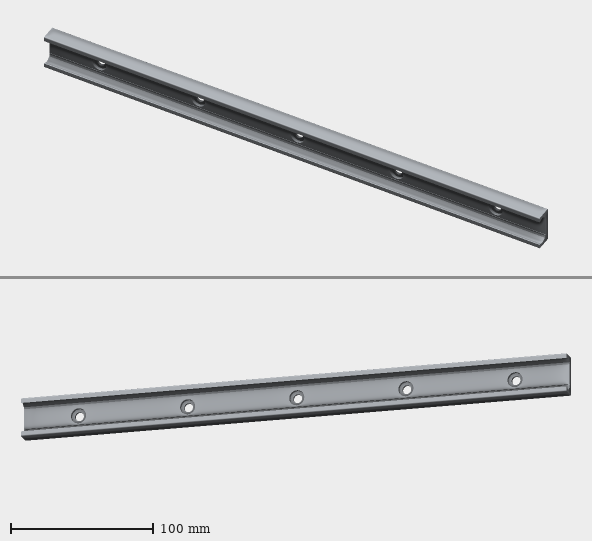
import cadquery as cq

LENGTH = 400.0
DEPTH = 12.3
HEIGHT = 28.0

WEB_THICKNESS = 4.2
FLANGE_THICKNESS = 2.7
CORNER_DEPTH = 0.5
CORNER_HEIGHT = 1.3
RACEWAY_DEPTH = 2.6
RACEWAY_HEIGHT = 1.9
LIP_HEIGHT = 0.9
LIP_WIDTH = 0.7
LIP_SLOPE_RUN = 1.9
OUTER_EDGE_RADIUS = 0.8

GROOVE_Z = -6.8
GROOVE_WIDTH = 0.3
GROOVE_DEPTH = 0.8

HOLE_COUNT = 5
HOLE_PITCH = LENGTH / HOLE_COUNT
HOLE_DIAMETER = 6.4
COUNTERBORE_DIAMETER = 11.0
COUNTERBORE_DEPTH = 2.4

FRONT_Y = -DEPTH
WEB_FACE_Y = -WEB_THICKNESS
HALF_HEIGHT = HEIGHT / 2


def channel():
    """C-shaped rail with two-facet inner corners and inward lips on both flanges."""
    ceiling = HALF_HEIGHT - FLANGE_THICKNESS
    lip_edge = ceiling - LIP_HEIGHT
    lip_back_y = FRONT_Y + LIP_WIDTH
    corner_y = WEB_FACE_Y - CORNER_DEPTH
    corner_z = ceiling - RACEWAY_HEIGHT
    upper_half = (
        cq.Workplane("YZ")
        .moveTo(0, 0)
        .lineTo(0, HALF_HEIGHT)
        .lineTo(FRONT_Y, HALF_HEIGHT)
        .lineTo(FRONT_Y, lip_edge)
        .lineTo(lip_back_y, lip_edge)
        .lineTo(lip_back_y + LIP_SLOPE_RUN, ceiling)
        .lineTo(corner_y - RACEWAY_DEPTH, ceiling)
        .lineTo(corner_y, corner_z)
        .lineTo(WEB_FACE_Y, corner_z - CORNER_HEIGHT)
        .lineTo(WEB_FACE_Y, 0)
        .close()
        .extrude(LENGTH / 2, both=True)
    )
    return upper_half.union(upper_half.mirror("XY")).clean()


def round_outer_edges(rail):
    """Round the four long edges of the rail's outer envelope."""
    outer_edges = rail.faces(">Z or <Z").edges("|X")
    return outer_edges.fillet(OUTER_EDGE_RADIUS)


def cut_groove(rail):
    """Narrow groove running the full length of the web face."""
    groove = cq.Workplane("XY", origin=(0, WEB_FACE_Y, GROOVE_Z)).box(
        LENGTH, 2 * GROOVE_DEPTH, GROOVE_WIDTH
    )
    return rail.cut(groove)


def add_mounting_holes(rail):
    """Row of holes along the web, counterbored from the open side."""
    return (
        rail.copyWorkplane(cq.Workplane("XZ", origin=(0, WEB_FACE_Y, 0)))
        .rarray(HOLE_PITCH, 1, HOLE_COUNT, 1)
        .cboreHole(HOLE_DIAMETER, COUNTERBORE_DIAMETER, COUNTERBORE_DEPTH)
    )


result = add_mounting_holes(cut_groove(round_outer_edges(channel())))